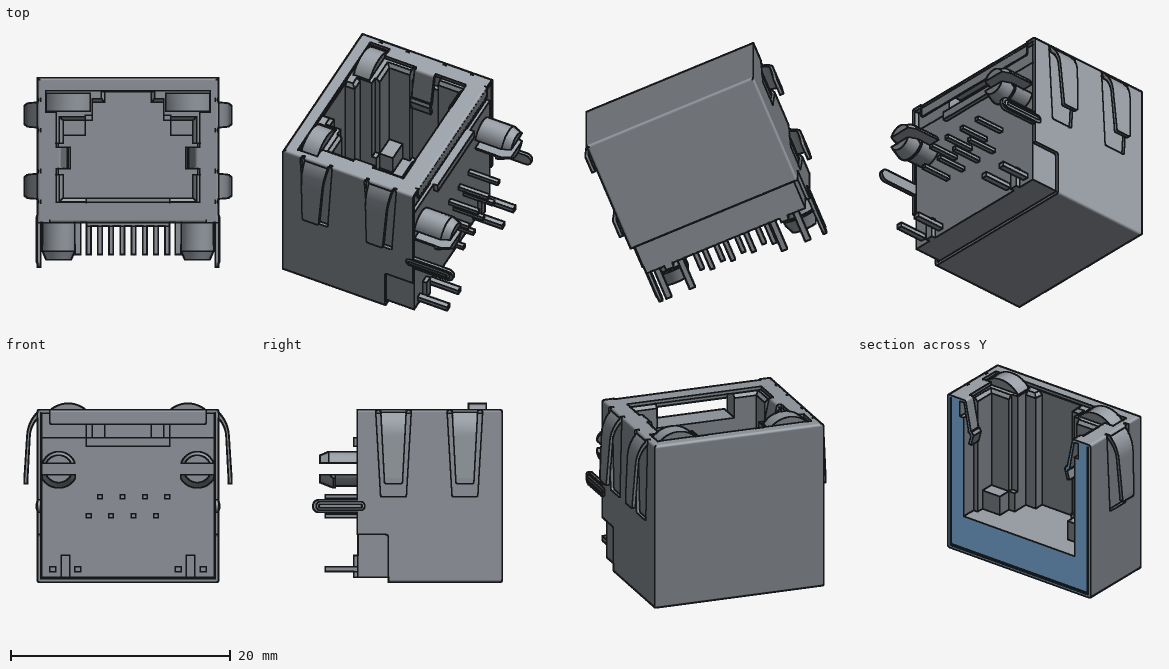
import cadquery as cq
import math


SHELL_WIDTH = 16.52
SHELL_HEIGHT = 15.75
SHELL_DEPTH = 13.21
SHEET = 0.32
BEND = 0.25
FLOOR_SETBACK = 2.84
NOTCH_TOP = 4.37
FLAP_WIDTH = 14.25
FLAP_THICKNESS = 0.1
FLAP_BOTTOM = 14.38
FLAP_CORNER = 0.23
SIDE_X = SHELL_WIDTH / 2
SHEET_UNDERSIDE = SHELL_HEIGHT - SHEET
BACK_INSIDE = SHELL_DEPTH - SHEET

WINDOW_WIDTH = 13.08
WINDOW_FRONT = 1.85
LED_WINDOW_WIDTH = 15.0
LED_WINDOW_FRONT = 10.07
WINDOW_BACK = 12.02

BODY_WIDTH = 15.7
BODY_BOTTOM = 0.45
BODY_FRONT = 0.08
FLAP_LEDGE = 13.2
FLAP_RECESS_Y = 0.42
BAR_WIDTH = 7.56
BAR_HEIGHT = 0.81
STANDOFF = 0.32
FOOT_X = 5.69
FOOT_WIDTH = 0.75
FOOT_HEIGHT = 2.02

PORT_FLOOR = 3.78
PORT_HALF = 5.92
PORT_FRONT = 2.25
PORT_BACK = 9.32
GROOVE_HALF = 3.91
GROOVE_BACK = 9.77
KEY_HALF = 3.25
KEY_BACK = 10.98
LATCH_HALF = 2.12
LATCH_BACK = 11.93
LEAD_IN = 0.32
BLOCK_FRONT = 7.98
BLOCK_HEIGHT = 1.89

CONTACT_Y = 5.9
CONTACT_WIDTH = 1.97
CONTACT_ANCHOR_X = WINDOW_WIDTH / 2
CONTACT_LIP_X = 6.33
CONTACT_BEND_MID = (6.2, 15.69)
CONTACT_BEND_END = (6.1, 15.55)
CONTACT_KNEE = (5.52, 12.78)
CONTACT_SHELF = (5.42, 12.74)
CONTACT_NOSE = (5.24, 12.4)
CONTACT_TIP_FRONT = (5.52, 11.34)
CONTACT_TIP_REAR = (5.82, 11.42)
CONTACT_NOSE_REAR = (5.58, 12.28)
CONTACT_KNEE_REAR = (5.84, 12.57)
CONTACT_SLOT_Y = 5.8
CONTACT_SLOT_WIDTH = 2.87
CONTACT_SLOT_HALF = 6.37
CONTACT_POCKET_HALF = 6.8
CONTACT_POCKET_DEPTH = 1.51

FINGER_YS = (3.3, 9.8)
FINGER_TOP_WIDTH = 2.3
FINGER_TIP_WIDTH = 1.63
FINGER_ROOT_Z = 15.48
FINGER_TIP_Z = 8.98
FINGER_TIP_BEND_Z = 9.5
FINGER_ARC_END_Z = 13.3
FINGER_THICKNESS = 0.28
FINGER_ARC_END_OUTER_X = 9.2
FINGER_ARC_END_INNER_X = FINGER_ARC_END_OUTER_X - FINGER_THICKNESS
FINGER_OUTER_ARC_MID = (8.88, 14.6)
FINGER_INNER_ARC_MID = (8.58, 14.48)
FINGER_REACH = 9.45
FINGER_SLOT_TOP_WIDTH = 3.23
FINGER_SLOT_BOTTOM_WIDTH = 2.35
FINGER_SLOT_BOTTOM_Z = 7.79
FINGER_CORNER = 0.19

LEG_Z = 6.95
LEG_HEIGHT = 1.17
LEG_TIP_Y = -4.05
BEAD_START_Y = 0.7
BEAD_END_Y = -3.75
BEAD_HEIGHT = 0.8
BEAD_RISE = 0.1
BEAD_SLOPE = 0.25

LED_X = 5.45
LED_WIDTH = 4.0
LED_FRONT = 10.13
LED_BACK = 11.77
LED_TOP = 16.31
LED_RADIUS = 2.48
LED_EMBED = 0.1

PEG_X = 6.31
PEG_Z = 10.34
PEG_RADIUS = 1.57
PEG_TIP_RADIUS = 1.25
PEG_TIP_Y = -3.38
PEG_TAPER_Y = -2.59
PEG_BARB_Y = -1.98
PEG_BARB_RADIUS = 1.74
PEG_BARB_LAND = 0.17
PEG_SLIT = 1.04
PEG_FLATS = 3.0

PIN_TIP_Y = -2.91
PIN_PITCH = 1.02
PIN_COUNT = 8
PIN_WIDTH = 0.42
PIN_HEIGHT = 0.35
PIN_ROW_LOW = 6.07
PIN_ROW_HIGH = 7.8
LED_PIN_XS = (4.55, 6.86)
LED_PIN_Z = 1.21
LED_PIN_WIDTH = 0.55
LED_PIN_HEIGHT = 0.45


def block(x0, x1, y0, y1, z0, z1):
    return cq.Workplane("XY").box(x1 - x0, y1 - y0, z1 - z0, centered=False).translate((x0, y0, z0))


def centred_block(width, y0, y1, z0, z1):
    return block(-width / 2, width / 2, y0, y1, z0, z1)


def both_sides(part):
    return part.union(part.mirror("YZ"))


def side_plate(outline, x0, x1):
    """Extrude a closed (Y, Z) workplane outline along X from x0 to x1."""
    return outline.extrude(x1 - x0).translate((x0, 0, 0))


def make_shell():
    shell = centred_block(SHELL_WIDTH, 0, SHELL_DEPTH, 0, SHELL_HEIGHT)
    shell = shell.edges("|Y or (>Y and |X)").fillet(BEND)
    inner_width = SHELL_WIDTH - 2 * SHEET
    shell = shell.cut(centred_block(inner_width, 0, BACK_INSIDE, SHEET, SHEET_UNDERSIDE))
    notch = centred_block(SHELL_WIDTH, 0, FLOOR_SETBACK, 0, NOTCH_TOP)
    shell = shell.cut(notch.edges(">Y and >Z").fillet(BEND))
    flap = centred_block(FLAP_WIDTH, 0, FLAP_THICKNESS, FLAP_BOTTOM, SHELL_HEIGHT)
    flap = flap.edges("|Y and <Z").fillet(FLAP_CORNER)
    shell = shell.union(flap)
    bend_bar = centred_block(FLAP_WIDTH, 0, SHEET, SHEET_UNDERSIDE, SHELL_HEIGHT)
    shell = shell.cut(bend_bar).union(bend_bar.edges("<Y and >Z").fillet(BEND))
    window = centred_block(WINDOW_WIDTH, WINDOW_FRONT, WINDOW_BACK, SHEET_UNDERSIDE, SHELL_HEIGHT)
    led_window = centred_block(
        LED_WINDOW_WIDTH, LED_WINDOW_FRONT, WINDOW_BACK, SHEET_UNDERSIDE, SHELL_HEIGHT
    )
    return shell.cut(window).cut(led_window)


def port_step(half, y0, y1, grow_x, grow_front, grow_back):
    """Port prism whose top edges flare outward by the given amounts as a lead-in."""
    flare_z = SHEET_UNDERSIDE - LEAD_IN
    prism = block(-half, half, y0, y1, PORT_FLOOR, SHEET_UNDERSIDE)
    flare = (
        cq.Workplane("XY", origin=(0, (y0 + y1) / 2, flare_z))
        .rect(2 * half, y1 - y0)
        .workplane(offset=LEAD_IN)
        .center(0, (grow_back - grow_front) / 2)
        .rect(2 * (half + grow_x), y1 - y0 + grow_front + grow_back)
        .loft(ruled=True)
    )
    return prism.union(flare)


def make_port():
    port = port_step(PORT_HALF, PORT_FRONT, PORT_BACK, LEAD_IN, LEAD_IN, LEAD_IN)
    port = port.union(port_step(KEY_HALF, PORT_FRONT, KEY_BACK, 0, 0, LEAD_IN))
    port = port.union(port_step(LATCH_HALF, PORT_FRONT, LATCH_BACK, LEAD_IN, 0, 0))
    block_top = PORT_FLOOR + BLOCK_HEIGHT
    port = port.union(
        centred_block(2 * GROOVE_HALF, PORT_BACK, GROOVE_BACK, block_top, SHEET_UNDERSIDE)
    )
    corner = block(GROOVE_HALF, PORT_HALF, BLOCK_FRONT, PORT_BACK, PORT_FLOOR, block_top)
    port = port.cut(both_sides(corner))
    slot_y0 = CONTACT_SLOT_Y - CONTACT_SLOT_WIDTH / 2
    slot_y1 = CONTACT_SLOT_Y + CONTACT_SLOT_WIDTH / 2
    pocket_floor = SHEET_UNDERSIDE - CONTACT_POCKET_DEPTH
    for width, floor in (
        (2 * CONTACT_SLOT_HALF, PORT_FLOOR),
        (2 * CONTACT_POCKET_HALF, pocket_floor),
    ):
        port = port.union(centred_block(width, slot_y0, slot_y1, floor, SHEET_UNDERSIDE))
    return port


def make_body():
    body = centred_block(BODY_WIDTH, BODY_FRONT, BACK_INSIDE, BODY_BOTTOM, SHEET_UNDERSIDE)
    body = body.cut(centred_block(BODY_WIDTH, BODY_FRONT, FLAP_RECESS_Y, FLAP_LEDGE, SHEET_UNDERSIDE))
    body = body.cut(make_port())
    body = body.cut(centred_block(BAR_WIDTH, BODY_FRONT, PORT_FRONT, FLAP_LEDGE, SHEET_UNDERSIDE))
    bar = centred_block(BAR_WIDTH, -STANDOFF, BODY_FRONT, FLAP_LEDGE - BAR_HEIGHT, FLAP_LEDGE)
    foot = block(
        FOOT_X - FOOT_WIDTH / 2, FOOT_X + FOOT_WIDTH / 2,
        -STANDOFF, BODY_FRONT, BODY_BOTTOM, BODY_BOTTOM + FOOT_HEIGHT,
    )
    return body.union(bar).union(both_sides(foot))


def led_footprint(z0, z1):
    return block(LED_X - LED_WIDTH / 2, LED_X + LED_WIDTH / 2, LED_FRONT, LED_BACK, z0, z1)


def make_led_dome(base_z):
    dome = (
        cq.Workplane("XZ", origin=(LED_X, LED_BACK, LED_TOP - LED_RADIUS))
        .circle(LED_RADIUS)
        .extrude(LED_BACK - LED_FRONT)
    )
    return dome.intersect(led_footprint(base_z, LED_TOP))


def trapezoid(y, z_top, z_bottom, top_width, bottom_width, x0, x1):
    outline = cq.Workplane("YZ").polyline([
        (y - top_width / 2, z_top),
        (y + top_width / 2, z_top),
        (y + bottom_width / 2, z_bottom),
        (y - bottom_width / 2, z_bottom),
    ]).close()
    return side_plate(outline, x0, x1).edges("|X and <Z").fillet(FINGER_CORNER)


def finger_strip():
    """Bent cross-section of the side finger, long enough in Y to cover every finger."""
    root_x = SIDE_X - SHEET
    tip_inside = FINGER_REACH - SHEET
    return (
        cq.Workplane("XZ", origin=(0, SHELL_DEPTH, 0))
        .moveTo(SIDE_X, FINGER_ROOT_Z)
        .threePointArc(FINGER_OUTER_ARC_MID, (FINGER_ARC_END_OUTER_X, FINGER_ARC_END_Z))
        .lineTo(FINGER_REACH, FINGER_TIP_BEND_Z)
        .lineTo(FINGER_REACH, FINGER_TIP_Z)
        .lineTo(tip_inside, FINGER_TIP_Z)
        .lineTo(tip_inside, FINGER_TIP_BEND_Z)
        .lineTo(FINGER_ARC_END_INNER_X, FINGER_ARC_END_Z)
        .threePointArc(FINGER_INNER_ARC_MID, (root_x, FINGER_ROOT_Z - FINGER_THICKNESS))
        .lineTo(root_x, FINGER_ROOT_Z)
        .close()
        .extrude(SHELL_DEPTH)
    )


def finger_slot(y):
    """Tapered opening around a finger, its two gaps ending in round reliefs cut into the bend."""
    slot = trapezoid(
        y, FINGER_ROOT_Z, FINGER_SLOT_BOTTOM_Z, FINGER_SLOT_TOP_WIDTH, FINGER_SLOT_BOTTOM_WIDTH,
        SIDE_X - SHEET, SIDE_X,
    )
    gap = (FINGER_SLOT_TOP_WIDTH - FINGER_TOP_WIDTH) / 2
    relief_y = (FINGER_SLOT_TOP_WIDTH - gap) / 2
    reliefs = cq.Workplane("YZ").pushPoints(
        [(y - relief_y, FINGER_ROOT_Z), (y + relief_y, FINGER_ROOT_Z)]
    ).circle(gap / 2)
    return slot.union(side_plate(reliefs, SIDE_X - SHEET, SIDE_X))


def add_fingers(shell):
    strip = finger_strip()
    for y in FINGER_YS:
        blade = trapezoid(
            y, FINGER_ROOT_Z, FINGER_TIP_Z, FINGER_TOP_WIDTH, FINGER_TIP_WIDTH,
            SIDE_X - SHEET, FINGER_REACH,
        )
        shell = shell.cut(both_sides(finger_slot(y))).union(both_sides(strip.intersect(blade)))
    return shell


def make_contact():
    """Tongue folded down from the shell top into the port, kinked inward and back at its end."""
    return (
        cq.Workplane("XZ", origin=(0, CONTACT_Y + CONTACT_WIDTH / 2, 0))
        .moveTo(CONTACT_ANCHOR_X, SHELL_HEIGHT)
        .lineTo(CONTACT_LIP_X, SHELL_HEIGHT)
        .threePointArc(CONTACT_BEND_MID, CONTACT_BEND_END)
        .lineTo(*CONTACT_KNEE)
        .lineTo(*CONTACT_SHELF)
        .lineTo(*CONTACT_NOSE)
        .lineTo(*CONTACT_TIP_FRONT)
        .lineTo(*CONTACT_TIP_REAR)
        .lineTo(*CONTACT_NOSE_REAR)
        .lineTo(*CONTACT_KNEE_REAR)
        .lineTo(CONTACT_SLOT_HALF, SHEET_UNDERSIDE)
        .lineTo(CONTACT_ANCHOR_X, SHEET_UNDERSIDE)
        .close()
        .extrude(CONTACT_WIDTH)
    )


def pill(y_start, y_end, height, x0, x1):
    length = y_start - y_end
    outline = cq.Workplane("YZ", origin=(0, (y_start + y_end) / 2, LEG_Z)).slot2D(length, height)
    return side_plate(outline, x0, x1)


def make_leg():
    leg = pill(LEG_HEIGHT, LEG_TIP_Y, LEG_HEIGHT, SIDE_X - SHEET, SIDE_X)
    bead = pill(BEAD_START_Y, BEAD_END_Y, BEAD_HEIGHT, SIDE_X - SHEET, SIDE_X + BEAD_RISE)
    bead = bead.faces(">X").chamfer(BEAD_RISE, BEAD_SLOPE)
    return leg.union(bead)


def peg_half(profile, z0, z1):
    """Spin a (Y, radius) profile about the peg axis and keep the part between two heights."""
    spun = cq.Workplane("YZ").polyline(profile).close().revolve(360, (0, 0), (1, 0))
    keep = centred_block(PEG_FLATS, PEG_TIP_Y, BODY_FRONT, z0, z1)
    return spun.intersect(keep).translate((PEG_X, 0, PEG_Z))


def make_peg():
    root = [(BODY_FRONT, 0), (BODY_FRONT, PEG_RADIUS)]
    tip = [(PEG_TIP_Y, PEG_TIP_RADIUS), (PEG_TIP_Y, 0)]
    plain = root + [(PEG_TAPER_Y, PEG_RADIUS)] + tip
    barb = [
        (PEG_BARB_Y, PEG_RADIUS),
        (PEG_BARB_Y, PEG_BARB_RADIUS),
        (PEG_BARB_Y - PEG_BARB_LAND, PEG_BARB_RADIUS),
    ]
    barbed = root + barb + tip
    upper = peg_half(plain, PEG_SLIT / 2, PEG_RADIUS)
    lower = peg_half(barbed, -PEG_BARB_RADIUS, -PEG_SLIT / 2)
    return upper.union(lower)


def pin(x, z, width, height):
    return block(x - width / 2, x + width / 2, PIN_TIP_Y, BODY_FRONT, z - height / 2, z + height / 2)


def add_pins(part):
    for i in range(PIN_COUNT):
        x = (i - (PIN_COUNT - 1) / 2) * PIN_PITCH
        z = PIN_ROW_HIGH if i % 2 else PIN_ROW_LOW
        part = part.union(pin(x, z, PIN_WIDTH, PIN_HEIGHT))
    for x in LED_PIN_XS:
        part = part.union(both_sides(pin(x, LED_PIN_Z, LED_PIN_WIDTH, LED_PIN_HEIGHT)))
    return part


shell = add_fingers(make_shell())
shell = shell.union(both_sides(make_leg())).union(both_sides(make_contact()))

led_drop = LED_RADIUS - math.sqrt(LED_RADIUS**2 - (LED_WIDTH / 2) ** 2)
led_seat = LED_TOP - led_drop
body = make_body().cut(both_sides(led_footprint(led_seat, SHEET_UNDERSIDE)))
body = body.union(both_sides(make_led_dome(led_seat - LED_EMBED)))
body = body.union(both_sides(make_peg()))

result = add_pins(body).union(shell)